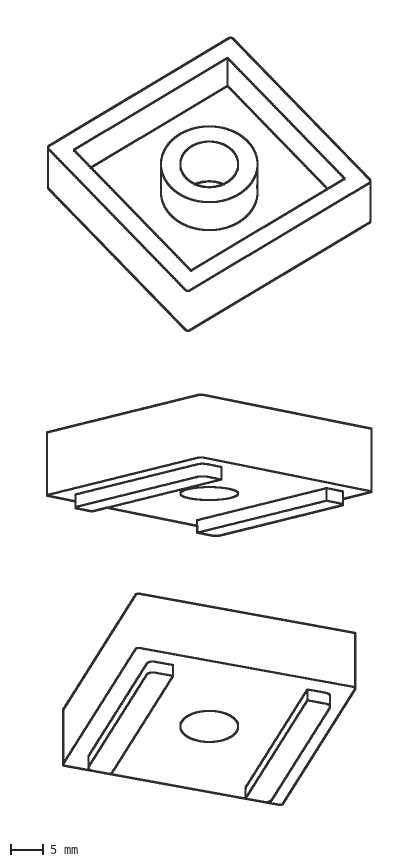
import cadquery as cq

tray_side = 36.0
tray_height = 10.0
wall_thickness = 3.0
floor_thickness = 3.0
tray_corner_radius = 0.5
pocket_side = tray_side - 2 * wall_thickness

boss_diameter = 15.0
bore_diameter = 9.0

rail_length = pocket_side
rail_width = 4.0
rail_height = 2.0
rail_corner_radius = 1.0
rail_offset = (pocket_side - rail_width) / 2


def make_tray():
    """Open-topped square box standing on Z = 0, with rounded vertical corners."""
    block = cq.Workplane("XY").rect(tray_side, tray_side).extrude(tray_height)
    block = block.edges("|Z").fillet(tray_corner_radius)
    pocket = (
        cq.Workplane("XY", origin=(0, 0, floor_thickness))
        .rect(pocket_side, pocket_side)
        .extrude(tray_height - floor_thickness)
    )
    return block.cut(pocket)


def make_rail(side):
    """Rail on the +Y (side = 1) or -Y (side = -1) half, with its outer corners rounded."""
    outer_edges = "|Z and >Y" if side > 0 else "|Z and <Y"
    return (
        cq.Workplane("XY", origin=(0, side * rail_offset, -rail_height))
        .rect(rail_length, rail_width)
        .extrude(rail_height)
        .edges(outer_edges)
        .fillet(rail_corner_radius)
    )


boss = cq.Workplane("XY").circle(boss_diameter / 2).extrude(tray_height)
bore = cq.Workplane("XY").circle(bore_diameter / 2).extrude(tray_height)

result = make_tray().union(boss).cut(bore)
for side in (-1, 1):
    result = result.union(make_rail(side))